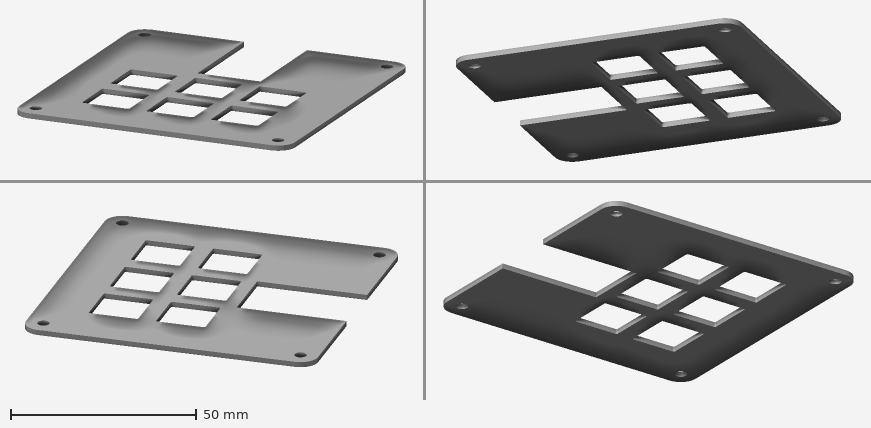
import cadquery as cq

width = 81.5
length = 82.7
thickness = 1.5
corner_radius = 5.0

hole_diameter = 3.4
hole_edge_distance = 5.0

notch_width = 18.6
notch_depth = 31.1
notch_center_x = 0.7

columns = 3
rows = 2
cutout_size = 14.0
cutout_pitch = 19.0
cutout_corner_radius = 0.5
grid_center_x = -0.5
grid_center_y = -10.35


def make_plate():
    return cq.Workplane("XY").box(width, length, thickness).edges("|Z").fillet(corner_radius)


def make_mounting_holes():
    return (
        cq.Workplane("XY")
        .rect(width - 2 * hole_edge_distance, length - 2 * hole_edge_distance, forConstruction=True)
        .vertices()
        .circle(hole_diameter / 2)
        .extrude(thickness, both=True)
    )


def make_notch():
    notch_center_y = length / 2 - notch_depth / 2
    return cq.Workplane("XY").box(notch_width, notch_depth, thickness).translate(
        (notch_center_x, notch_center_y, 0)
    )


def make_switch_cutouts():
    return (
        cq.Workplane("XY")
        .center(grid_center_x, grid_center_y)
        .rarray(cutout_pitch, cutout_pitch, columns, rows)
        .rect(cutout_size, cutout_size)
        .extrude(thickness, both=True)
        .edges("|Z")
        .fillet(cutout_corner_radius)
    )


result = make_plate().cut(make_mounting_holes()).cut(make_notch()).cut(make_switch_cutouts())